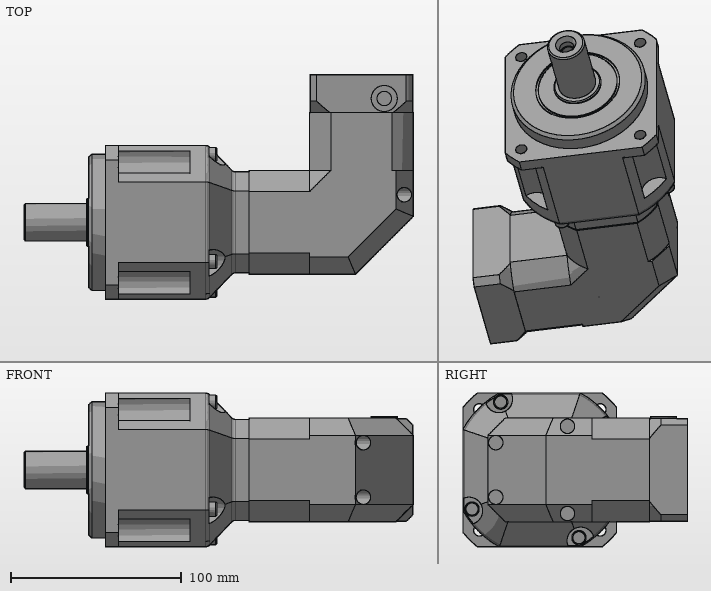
import cadquery as cq
import math

total_length = 228.0
total_width = 131.5

shaft_diameter = 22.1
shaft_chamfer = 1.0
collar_diameter = 28.0
collar_start = 36.5
collar_chamfer = 0.7

countersink_diameter = 12.0
countersink_depth = 3.2
thread_diameter = 8.5
thread_depth = 6.8
drill_diameter = 7.0
drill_depth = 20.5
drill_tip_angle = 120.0

pilot_diameter = 80.0
pilot_start = 37.8
pilot_chamfer = 1.8
groove_inner_diameter = 47.0
groove_outer_diameter = 50.0
groove_depth = 1.0

square_side = 90.0
flange_start = 47.7
flange_thickness = 7.5
flange_corner_diameter = 116.0
bolt_circle_diameter = 100.0
bolt_first_angle = 45.0
bolt_hole_diameter = 6.5
bolt_relief_circle_diameter = 103.5
bolt_relief_diameter = 18.7
bolt_relief_length = 42.0

case_corner_diameter = 101.7
case_end = 107.6
neck_side = 59.3
neck_corner_diameter = 69.8
neck_start = 122.5
taper_fillet = 3.0

screw_circle_diameter = 91.7
screw_first_angle = 30.0
screw_head_diameter = 8.5
screw_head_end = 112.9
screw_head_chamfer = 0.7
screw_pocket_circle_diameter = 95.8
screw_pocket_diameter = 16.0
screw_pocket_floor = 108.3

arm_side = 60.9
arm_corner_diameter = 70.7
arm_start = 131.8
elbow_chamfer = 10.3
elbow_corner_cut = 34.0
cover_hole_diameter = 8.5
cover_hole_floor = 193.8
cover_holes = [(16.2, 25.5), (-25.8, 16.0)]

adapter_start = 64.3
adapter_side = 60.2
adapter_corner_diameter = 79.8
adapter_flare_length = 6.5
plug_diameter = 15.3
plug_center_x = 211.0
plug_center_y = 72.5
plug_top = 31.2
plug_dimple_diameter = 8.5
plug_dimple_depth = 0.2

drill_tip_depth = drill_diameter / 2 / math.tan(math.radians(drill_tip_angle / 2))
half_square = square_side / 2
half_arm = arm_side / 2
flange_end = flange_start + flange_thickness
input_axis_x = total_length - half_arm
arm_inner_x = total_length - arm_side
arm_flat = math.sqrt((arm_corner_diameter / 2) ** 2 - half_arm ** 2)
adapter_end = total_width - half_square


def cylinder_x(diameter, start, end, y=0.0, z=0.0):
    """Cylinder along X between two X positions."""
    return cq.Workplane("YZ", origin=(start, y, z)).circle(diameter / 2).extrude(end - start)


def rounded_square_x(side, corner_diameter, start, end):
    """Square bar along X whose corners are turned round the shaft axis."""
    bar = cq.Workplane("YZ", origin=(start, 0, 0)).rect(side, side).extrude(end - start)
    return bar.intersect(cylinder_x(corner_diameter, start, end))


def make_flange_and_pilot():
    flange = rounded_square_x(square_side, flange_corner_diameter, flange_start, flange_end)
    pilot = cylinder_x(pilot_diameter, pilot_start, flange_start).faces("<X").chamfer(pilot_chamfer)
    groove_end = pilot_start + groove_depth
    groove = cylinder_x(groove_outer_diameter, pilot_start, groove_end).cut(
        cylinder_x(groove_inner_diameter, pilot_start, groove_end)
    )
    return flange.union(pilot.cut(groove))


def make_shaft():
    shaft = cylinder_x(shaft_diameter, 0, pilot_start).faces("<X").chamfer(shaft_chamfer)
    collar = cylinder_x(collar_diameter, collar_start, pilot_start).faces("<X").chamfer(collar_chamfer)
    return shaft.union(collar)


def make_center_hole():
    """Countersunk, threaded and drilled hole, turned from its half section."""
    half_section = [
        (0, 0),
        (0, countersink_diameter / 2),
        (countersink_depth, thread_diameter / 2),
        (thread_depth, thread_diameter / 2),
        (thread_depth, drill_diameter / 2),
        (drill_depth, drill_diameter / 2),
        (drill_depth + drill_tip_depth, 0),
    ]
    return cq.Workplane("XY").polyline(half_section).close().revolve(360, (0, 0, 0), (1, 0, 0))


def tapered_half_section(case_half, neck_half):
    """Half section of case, taper and neck, with both bends of the taper rounded."""
    slope = math.atan2(case_half - neck_half, neck_start - case_end)
    tangent = taper_fillet * math.tan(slope / 2)
    tangent_x = tangent * math.cos(slope)
    tangent_y = tangent * math.sin(slope)
    mid_x = taper_fillet * math.sin(slope / 2)
    mid_y = taper_fillet * (1 - math.cos(slope / 2))
    return (
        cq.Workplane("XY")
        .moveTo(flange_end, 0)
        .lineTo(flange_end, case_half)
        .lineTo(case_end - tangent, case_half)
        .threePointArc(
            (case_end - tangent + mid_x, case_half - mid_y),
            (case_end + tangent_x, case_half - tangent_y),
        )
        .lineTo(neck_start - tangent_x, neck_half + tangent_y)
        .threePointArc(
            (neck_start + tangent - mid_x, neck_half + mid_y),
            (neck_start + tangent, neck_half),
        )
        .lineTo(arm_start, neck_half)
        .lineTo(arm_start, 0)
        .close()
    )


def make_case():
    """Square case and neck: a turned envelope trimmed by a tapering slab in Y and in Z."""
    turned = tapered_half_section(case_corner_diameter / 2, neck_corner_diameter / 2).revolve(
        360, (0, 0, 0), (1, 0, 0)
    )
    half_slab = tapered_half_section(half_square, neck_side / 2).extrude(square_side, both=True)
    slab = half_slab.union(half_slab.mirror("XZ"))
    upright_slab = slab.rotate((0, 0, 0), (1, 0, 0), 90)
    return turned.intersect(slab).intersect(upright_slab)


def quarter_points(circle_diameter, first_angle):
    """(Y, Z) places of four equally spaced points on a circle round the shaft axis."""
    radius = circle_diameter / 2
    angles = [math.radians(first_angle + 90 * i) for i in range(4)]
    return [(radius * math.cos(a), radius * math.sin(a)) for a in angles]


def cut_flange_bolts(body):
    """Through holes in the flange, with a concave relief in the case behind each."""
    for y, z in quarter_points(bolt_circle_diameter, bolt_first_angle):
        body = body.cut(cylinder_x(bolt_hole_diameter, flange_start, flange_end, y, z))
    for y, z in quarter_points(bolt_relief_circle_diameter, bolt_first_angle):
        body = body.cut(cylinder_x(bolt_relief_diameter, flange_end, flange_end + bolt_relief_length, y, z))
    return body


def add_case_screws(body):
    """Pockets in the taper, each with a screw head standing out of its floor."""
    for y, z in quarter_points(screw_pocket_circle_diameter, screw_first_angle):
        body = body.cut(cylinder_x(screw_pocket_diameter, screw_pocket_floor, neck_start, y, z))
    for y, z in quarter_points(screw_circle_diameter, screw_first_angle):
        head = cylinder_x(screw_head_diameter, case_end, screw_head_end, y, z)
        body = body.union(head.faces(">X").chamfer(screw_head_chamfer))
    return body


def make_elbow():
    """Full-section corner block; its outer edges are chamfered above and below."""
    outer_corner_x = total_length - elbow_corner_cut
    outer_corner_y = elbow_corner_cut - half_arm
    outline = [
        (arm_inner_x, -half_arm),
        (outer_corner_x, -half_arm),
        (total_length, outer_corner_y),
        (total_length, half_arm),
        (input_axis_x - arm_flat, half_arm),
        (arm_inner_x, arm_flat),
    ]
    elbow = cq.Workplane("XY", origin=(0, 0, -half_arm)).polyline(outline).close().extrude(arm_side)
    flat_edges = elbow.faces("|Z").edges()
    outer_edges = flat_edges.filter(lambda edge: edge.Center().x - edge.Center().y > input_axis_x)
    return outer_edges.chamfer(elbow_chamfer)


def make_corner_fill():
    """Round corners of the shaft arm carried diagonally across the inner corner to the input arm."""
    diagonal = arm_corner_diameter / 2 * math.sqrt(0.5)
    section = (
        cq.Workplane("YZ", origin=(arm_inner_x, 0, 0))
        .moveTo(arm_flat, half_arm)
        .threePointArc((diagonal, diagonal), (half_arm, arm_flat))
        .lineTo(half_arm, -arm_flat)
        .threePointArc((diagonal, -diagonal), (arm_flat, -half_arm))
        .close()
    )
    run = half_arm - arm_flat
    face = cq.Face.makeFromWires(section.val())
    return cq.Workplane(cq.Solid.extrudeLinear(face, cq.Vector(run, run, 0)))


def make_right_angle_housing():
    shaft_arm = rounded_square_x(arm_side, arm_corner_diameter, arm_start, arm_inner_x)
    input_arm = (
        rounded_square_x(arm_side, arm_corner_diameter, half_arm, adapter_start)
        .rotate((0, 0, 0), (0, 0, 1), 90)
        .translate((input_axis_x, 0, 0))
    )
    return shaft_arm.union(make_elbow()).union(make_corner_fill()).union(input_arm)


def cut_cover_holes(body):
    for y, z in cover_holes:
        for side in (1, -1):
            body = body.cut(cylinder_x(cover_hole_diameter, cover_hole_floor, total_length, y, side * z))
    return body


def make_gearbox():
    body = make_flange_and_pilot().union(make_case())
    body = add_case_screws(cut_flange_bolts(body))
    body = body.union(make_shaft()).cut(make_center_hole())
    return body.union(cut_cover_holes(make_right_angle_housing()))


def make_adapter():
    """Square block turned to a cone next to the gearbox, with a plug on top."""
    flare_end = adapter_start + adapter_flare_length
    envelope_half_section = [
        (0, adapter_start),
        (arm_corner_diameter / 2, adapter_start),
        (adapter_corner_diameter / 2, flare_end),
        (adapter_corner_diameter / 2, adapter_end),
        (0, adapter_end),
    ]
    envelope = (
        cq.Workplane("XY", origin=(input_axis_x, 0, 0))
        .polyline(envelope_half_section)
        .close()
        .revolve(360, (0, 0, 0), (0, 1, 0))
    )
    block = (
        cq.Workplane("XZ", origin=(input_axis_x, adapter_end, 0))
        .rect(adapter_side, adapter_side)
        .extrude(adapter_end - adapter_start)
        .intersect(envelope)
    )
    plug = (
        cq.Workplane("XY", origin=(plug_center_x, plug_center_y, 0))
        .circle(plug_diameter / 2)
        .extrude(plug_top)
        .faces(">Z")
        .workplane()
        .hole(plug_dimple_diameter, plug_dimple_depth)
    )
    return block.union(plug)


gearbox = make_gearbox()
adapter = make_adapter()
result = cq.Compound.makeCompound([gearbox.solids().val(), adapter.solids().val()])